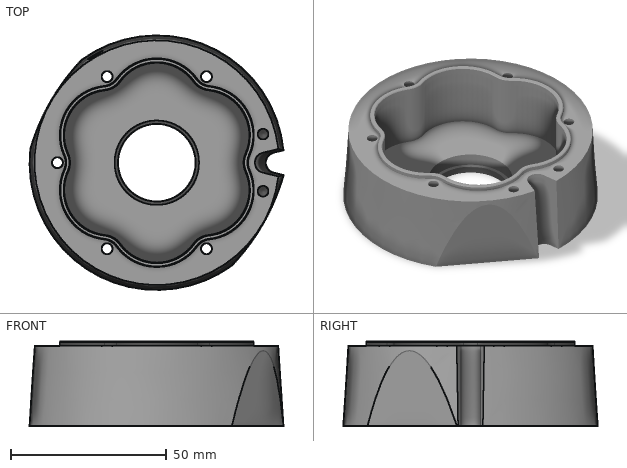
import cadquery as cq
import math

BOTTOM_RADIUS = 41.05
TOP_RADIUS = 39.4
BODY_HEIGHT = 25.9
TOTAL_HEIGHT = 27.3

LOBE_COUNT = 6
LOBE_STEP = 360 / LOBE_COUNT
FIRST_LOBE_ANGLE = LOBE_STEP / 2
LOBE_CENTER_RADIUS = 17.65
CAVITY_LOBE_RADIUS = 14.5
VALLEY_CENTER_RADIUS = 34.9
RIM_WIDTH = 1.5
RIM_CHAMFER = 0.25
FLOOR_THICKNESS = 6.3

BORE_RADIUS = 12.5
COUNTERBORE_RADIUS = 13.6
COUNTERBORE_DEPTH = 4.0

SCREW_CIRCLE_RADIUS = 32.0
SCREW_HOLE_RADIUS = 1.7
BLIND_HOLE_X = 34.2
BLIND_HOLE_Y = 9.2
BLIND_HOLE_DEPTH = 9.85
DRILL_HALF_ANGLE = 59

FLAT_ANGLES = (150, 330)
FLAT_BASE_DISTANCE = 37.5
FLAT_APEX_DISTANCE = 39.5
FLAT_APEX_HEIGHT = 24.2

NOTCH_TOP_X = 31.6
NOTCH_BOTTOM_X = 35.1
NOTCH_RADIUS = 3.3
NOTCH_FLARE_ANGLE = 14
NOTCH_LENGTH = 20.5

STEP_FACE_X = -17.4
STEP_FACE_Y = 33.3
STEP_BOTTOM = 15.2
STEP_HEIGHT = 2.5


def polar(radius, angle):
    """Point at the given radius and angle in degrees."""
    return (radius * math.cos(math.radians(angle)), radius * math.sin(math.radians(angle)))


def offset(center, radius, angle):
    """Point on a circle around the given center."""
    x, y = polar(radius, angle)
    return (center[0] + x, center[1] + y)


def lobed_prism(growth, bottom, top):
    """Prism of lobe arcs flowing tangentially into valley arcs."""
    lobe_radius = CAVITY_LOBE_RADIUS + growth
    half_step = LOBE_STEP / 2

    lobe_center = polar(LOBE_CENTER_RADIUS, 0)
    valley_center = polar(VALLEY_CENTER_RADIUS, half_step)
    dx = valley_center[0] - lobe_center[0]
    dy = valley_center[1] - lobe_center[1]
    tangent_angle = math.degrees(math.atan2(dy, dx))
    valley_radius = math.hypot(dx, dy) - lobe_radius

    start = offset(polar(LOBE_CENTER_RADIUS, FIRST_LOBE_ANGLE), lobe_radius, FIRST_LOBE_ANGLE - tangent_angle)
    outline = cq.Workplane("XY").workplane(offset=bottom).moveTo(*start)
    for index in range(LOBE_COUNT):
        axis = FIRST_LOBE_ANGLE + index * LOBE_STEP
        valley_axis = axis + half_step
        next_axis = axis + LOBE_STEP
        lobe = polar(LOBE_CENTER_RADIUS, axis)
        next_lobe = polar(LOBE_CENTER_RADIUS, next_axis)
        valley = polar(VALLEY_CENTER_RADIUS, valley_axis)
        outline = (
            outline
            .threePointArc(offset(lobe, lobe_radius, axis), offset(lobe, lobe_radius, axis + tangent_angle))
            .threePointArc(
                offset(valley, valley_radius, valley_axis + 180),
                offset(next_lobe, lobe_radius, next_axis - tangent_angle),
            )
        )
    return outline.close().extrude(top - bottom)


def body_cone():
    profile = [(0, 0), (BOTTOM_RADIUS, 0), (TOP_RADIUS, BODY_HEIGHT), (0, BODY_HEIGHT)]
    return cq.Workplane("XZ").polyline(profile).close().revolve(360, (0, 0), (0, 1))


def flat_cutter(angle):
    """Block outside the leaning plane of one flat."""
    lean = (FLAT_APEX_DISTANCE - FLAT_BASE_DISTANCE) / FLAT_APEX_HEIGHT
    top_distance = FLAT_BASE_DISTANCE + lean * TOTAL_HEIGHT
    outside = 2 * BOTTOM_RADIUS
    profile = [(FLAT_BASE_DISTANCE, 0), (outside, 0), (outside, TOTAL_HEIGHT), (top_distance, TOTAL_HEIGHT)]
    block = cq.Workplane("XZ").polyline(profile).close().extrude(BOTTOM_RADIUS, both=True)
    return block.rotate((0, 0, 0), (0, 0, 1), angle)


def notch_cutter():
    """Flared U-shaped outline swept down along a slanted line."""
    def outline(workplane, end_x):
        center = (end_x + NOTCH_RADIUS, 0)
        upper = offset(center, NOTCH_RADIUS, 90 + NOTCH_FLARE_ANGLE)
        mouth_x = upper[0] + NOTCH_LENGTH
        mouth_y = upper[1] + NOTCH_LENGTH * math.tan(math.radians(NOTCH_FLARE_ANGLE))
        return (
            workplane.moveTo(mouth_x, mouth_y)
            .lineTo(*upper)
            .threePointArc((end_x, 0), (upper[0], -upper[1]))
            .lineTo(mouth_x, -mouth_y)
            .close()
        )

    lower = outline(cq.Workplane("XY"), NOTCH_BOTTOM_X)
    return outline(lower.workplane(offset=BODY_HEIGHT), NOTCH_TOP_X).loft(ruled=True)


def through_screw_holes():
    points = [polar(SCREW_CIRCLE_RADIUS, index * LOBE_STEP) for index in range(1, LOBE_COUNT)]
    return cq.Workplane("XY").pushPoints(points).circle(SCREW_HOLE_RADIUS).extrude(BODY_HEIGHT)


def blind_hole(y):
    """Drilled hole with a conical bottom."""
    shoulder = BODY_HEIGHT - BLIND_HOLE_DEPTH
    tip = shoulder - SCREW_HOLE_RADIUS / math.tan(math.radians(DRILL_HALF_ANGLE))
    profile = [(0, tip), (SCREW_HOLE_RADIUS, shoulder), (SCREW_HOLE_RADIUS, BODY_HEIGHT), (0, BODY_HEIGHT)]
    drill = cq.Workplane("XZ").polyline(profile).close().revolve(360, (0, 0), (0, 1))
    return drill.translate((BLIND_HOLE_X, y, 0))


def step_cutter():
    block = cq.Workplane("XY").box(BOTTOM_RADIUS, BOTTOM_RADIUS, STEP_HEIGHT, centered=False)
    return block.translate((STEP_FACE_X - BOTTOM_RADIUS, STEP_FACE_Y, STEP_BOTTOM))


result = body_cone()
for flat_angle in FLAT_ANGLES:
    result = result.cut(flat_cutter(flat_angle))

rim = lobed_prism(RIM_WIDTH, BODY_HEIGHT, TOTAL_HEIGHT)
rim = rim.cut(lobed_prism(0, BODY_HEIGHT, TOTAL_HEIGHT))
rim = rim.faces(">Z").edges().chamfer(RIM_CHAMFER)
result = result.cut(lobed_prism(0, FLOOR_THICKNESS, BODY_HEIGHT)).union(rim)

counterbore_floor = FLOOR_THICKNESS - COUNTERBORE_DEPTH
result = result.cut(cq.Workplane("XY").circle(BORE_RADIUS).extrude(FLOOR_THICKNESS))
result = result.cut(
    cq.Workplane("XY").workplane(offset=counterbore_floor).circle(COUNTERBORE_RADIUS).extrude(COUNTERBORE_DEPTH)
)

result = result.cut(through_screw_holes())
for hole_y in (-BLIND_HOLE_Y, BLIND_HOLE_Y):
    result = result.cut(blind_hole(hole_y))

result = result.cut(notch_cutter()).cut(step_cutter())